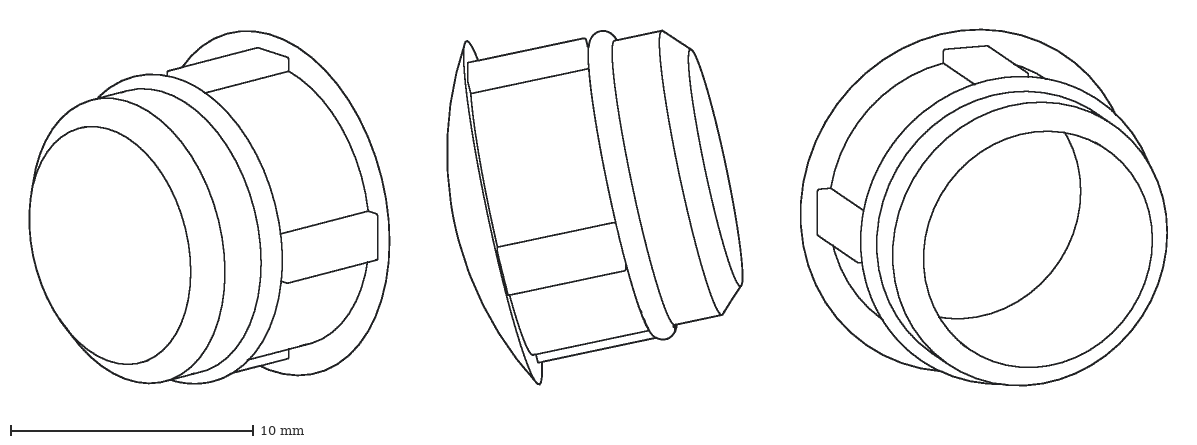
import cadquery as cq

cap_diameter = 14.5
cap_height = 2.0
body_diameter = 12.0
body_length = 9.0
bore_diameter = 10.0
bore_depth = body_length
nose_chamfer = (body_diameter - bore_diameter) / 2

rib_count = 4
rib_width = 2.0
rib_length = 5.0
rib_edge_radius = 0.1

ring_width = 1.0
ring_radius = ring_width / 2
ring_center_y = -rib_length - ring_radius
rib_height = ring_radius

cap_radius = cap_diameter / 2
body_radius = body_diameter / 2
bore_radius = bore_diameter / 2


def make_cap():
    """Spherical dome with a sharp rim and a flat underside."""
    sphere_radius = (cap_radius**2 + cap_height**2) / (2 * cap_height)
    sphere_center_y = cap_height - sphere_radius
    mid_x = cap_radius / 2
    mid_y = sphere_center_y + (sphere_radius**2 - mid_x**2) ** 0.5
    return (
        cq.Workplane("XY")
        .moveTo(0, 0)
        .lineTo(cap_radius, 0)
        .threePointArc((mid_x, mid_y), (0, cap_height))
        .close()
        .revolve(360, (0, 0), (0, 1))
    )


def make_body():
    """Solid body with a conical nose tapering down to the bore edge."""
    taper_start_y = nose_chamfer - body_length
    return (
        cq.Workplane("XY")
        .polyline([
            (0, 0),
            (body_radius, 0),
            (body_radius, taper_start_y),
            (bore_radius, -body_length),
            (0, -body_length),
        ])
        .close()
        .revolve(360, (0, 0), (0, 1))
    )


def make_ring():
    """Sealing bead around the body with a half-round outer profile."""
    near_y = ring_center_y + ring_radius
    far_y = ring_center_y - ring_radius
    return (
        cq.Workplane("XY")
        .moveTo(bore_radius, near_y)
        .lineTo(body_radius, near_y)
        .threePointArc((body_radius + ring_radius, ring_center_y), (body_radius, far_y))
        .lineTo(bore_radius, far_y)
        .close()
        .revolve(360, (0, 0), (0, 1))
    )


def make_rib(angle):
    """Straight rib with rounded outer edges, running from the cap to the bead."""
    outer_z = body_radius + rib_height
    rib = (
        cq.Workplane("XY")
        .box(rib_width, rib_length, outer_z - bore_radius, centered=(True, False, False))
        .translate((0, -rib_length, bore_radius))
    )
    rib = rib.edges("(>Z and (not >Y)) or (<Y and |Z)").fillet(rib_edge_radius)
    return rib.rotate((0, 0, 0), (0, 1, 0), angle)


result = make_cap().union(make_body()).union(make_ring())
for index in range(rib_count):
    result = result.union(make_rib(index * 360 / rib_count))

bore = cq.Workplane("XZ").circle(bore_radius).extrude(bore_depth)
result = result.cut(bore)